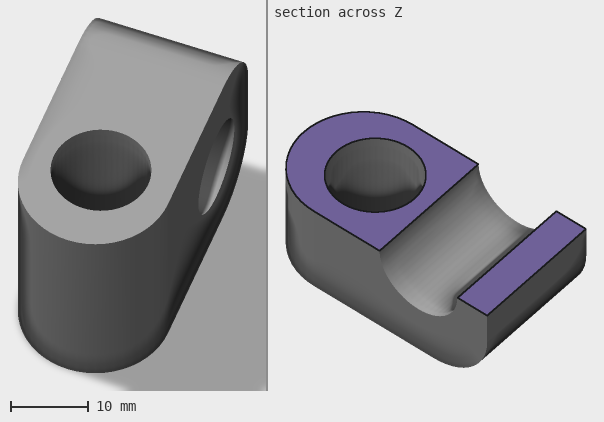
import cadquery as cq

width = 20.0
length = 39.0
height = 27.9
back_corner_radius = 9.0
bore_diameter = 13.0
vertical_bore_from_front = 12.0
cross_bore_from_back = 11.5

nose_radius = width / 2

nose_center_y = nose_radius
vertical_bore_y = vertical_bore_from_front
cross_bore_y = length - cross_bore_from_back


def make_body():
    """Block with a half-round nose in front and rounded edges at the back."""
    plan = (
        cq.Workplane("XY")
        .workplane(offset=-height / 2)
        .moveTo(-nose_radius, nose_center_y)
        .threePointArc((0, 0), (nose_radius, nose_center_y))
        .lineTo(nose_radius, length)
        .lineTo(-nose_radius, length)
        .close()
    )
    return plan.extrude(height).faces(">Y").edges("|X").fillet(back_corner_radius)


def make_vertical_bore():
    """Cylinder along Z for the through hole near the nose."""
    return (
        cq.Workplane("XY")
        .center(0, vertical_bore_y)
        .circle(bore_diameter / 2)
        .extrude(height / 2, both=True)
    )


def make_cross_bore():
    """Cylinder along X for the through hole near the rounded back."""
    return (
        cq.Workplane("YZ")
        .center(cross_bore_y, 0)
        .circle(bore_diameter / 2)
        .extrude(width / 2, both=True)
    )


result = make_body().cut(make_vertical_bore()).cut(make_cross_bore())